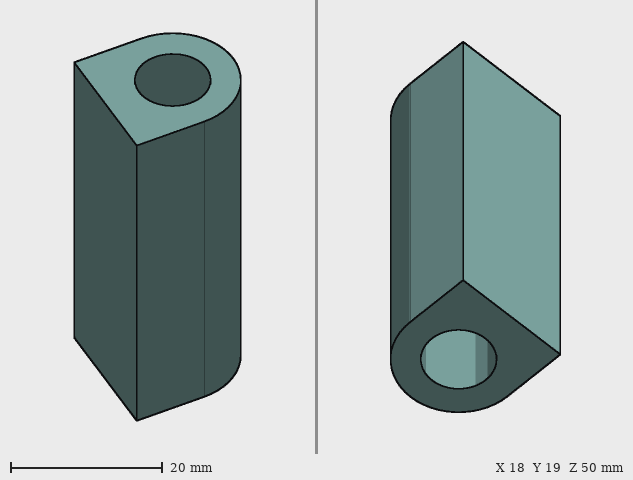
import cadquery as cq

height = 50.0
width = 18.0
depth = 19.0
bore_diameter = 10.0

round_radius = width / 2
front_y = round_radius - depth

body = (
    cq.Workplane("XY")
    .moveTo(-round_radius, front_y)
    .lineTo(round_radius, front_y)
    .lineTo(round_radius, 0)
    .threePointArc((0, round_radius), (-round_radius, 0))
    .close()
    .extrude(height)
)

bore = cq.Workplane("XY").circle(bore_diameter / 2).extrude(height)

result = body.cut(bore)